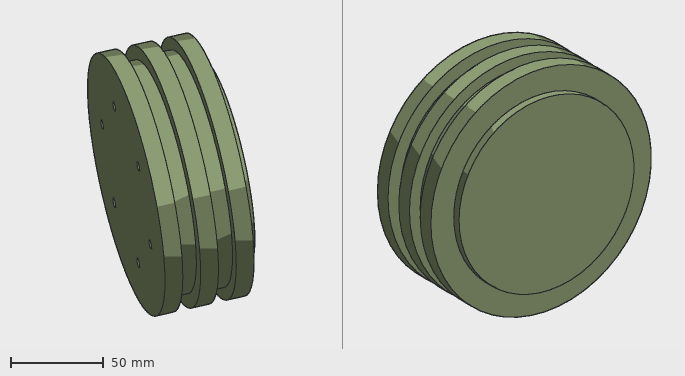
import cadquery as cq

land_diameter = 145.0
front_groove_diameter = 129.0
rear_groove_diameter = 131.0
section_width = 10.0
section_diameters = [
    land_diameter,
    front_groove_diameter,
    land_diameter,
    rear_groove_diameter,
    land_diameter,
]
piston_length = section_width * len(section_diameters)

plate_diameter = 115.0
plate_thickness = 5.0

hole_diameter = 5.0
hole_circle_diameter = 90.0
hole_count = 6

front_y = -(piston_length + plate_thickness) / 2


def disc(diameter, start_y, thickness):
    """Solid disc on the Y axis, growing from start_y toward +Y."""
    plane = cq.Workplane("XZ", origin=(0, start_y, 0))
    return plane.circle(diameter / 2).extrude(-thickness)


def bolt_holes():
    """Ring of cylinders as long as the piston; two of them lie on the X axis."""
    return (
        cq.Workplane("XZ", origin=(0, front_y, 0))
        .polarArray(hole_circle_diameter / 2, 0, 360, hole_count)
        .circle(hole_diameter / 2)
        .extrude(-piston_length)
    )


def make_piston():
    piston = disc(section_diameters[0], front_y, section_width)
    for index, diameter in enumerate(section_diameters[1:], start=1):
        section_y = front_y + index * section_width
        piston = piston.union(disc(diameter, section_y, section_width))
    return piston.cut(bolt_holes()).solids()


def make_rear_plate():
    return disc(plate_diameter, front_y + piston_length, plate_thickness)


piston = make_piston()
rear_plate = make_rear_plate()

result = cq.Compound.makeCompound([piston.val(), rear_plate.val()])